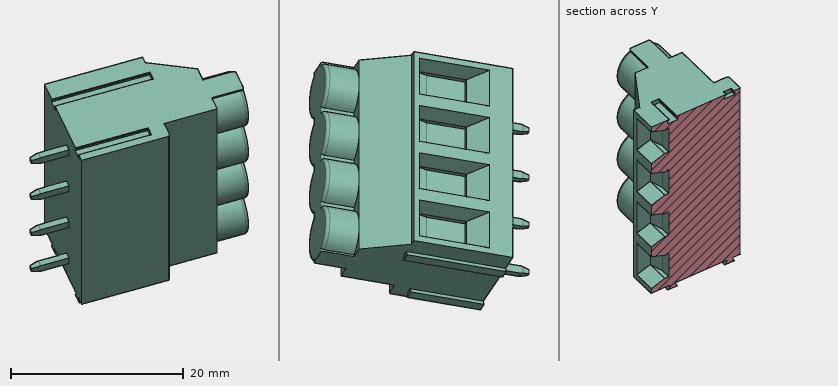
import cadquery as cq


OVERALL_LENGTH = 26.1
OVERALL_HEIGHT = 26.0

POLES = 4
BODY_HEIGHT = 25.4
PITCH = BODY_HEIGHT / POLES
POLE_CENTERS = [(i + 0.5) * PITCH for i in range(POLES)]

BODY_WIDTH = 12.5
POCKET_SIDE_Y = 12.14
BACK_SIDE_Y = 10.95
SHOULDER_Y = 17.51
LEDGE_DEPTH = 0.9
BACK_CHAMFER = 0.2

CAP_TOP_Y = 21.5
CAP_RADIUS = 3.3
CAP_CENTER_X = 7.18
CAP_FILLET = 0.4
WEB_FILLET = 0.3
WEB_WIDTH = 2.92

POCKET_MIN_Y = 2.85
POCKET_MAX_Y = 11.43
POCKET_HEIGHT = 4.8
FUNNEL_DEPTH = 1.88
THROAT_MIN_Y = 5.06
THROAT_HEIGHT = 3.47
THROAT_DEPTH = 2.43
RAMP_END_Y = 9.74

DOVETAIL_DEPTH = OVERALL_HEIGHT - BODY_HEIGHT
DOVETAIL_BASE = 1.35
RAIL_NECK = 0.78
SLOT_NECK = 0.95
SLOT_LIP = 0.091
SLOT_FLARE_DEPTH = 0.31
DOVETAILS = [(3.03, POCKET_SIDE_Y), (11.01, 8.98)]

PIN_X = 7.88
PIN_WIDTH = 0.8
PIN_HEIGHT = 1.0
PIN_LENGTH = OVERALL_LENGTH - CAP_TOP_Y
PIN_TIP = 0.5
TAPER_IN_X = 0.84
TAPER_IN_Z = 1.1


def make_body():
    """Stepped profile in X and Y, extruded over all poles."""
    cap_min_x = CAP_CENTER_X - CAP_RADIUS
    cap_max_x = CAP_CENTER_X + CAP_RADIUS
    profile = [
        (0, 0),
        (BODY_WIDTH, 0),
        (BODY_WIDTH, BACK_SIDE_Y - BACK_CHAMFER),
        (BODY_WIDTH - BACK_CHAMFER, BACK_SIDE_Y),
        (cap_max_x, BACK_SIDE_Y),
        (cap_max_x, SHOULDER_Y),
        (cap_min_x, SHOULDER_Y),
        (LEDGE_DEPTH, POCKET_SIDE_Y),
        (0, POCKET_SIDE_Y),
    ]
    return cq.Workplane("XY").polyline(profile).close().extrude(BODY_HEIGHT)


def make_caps():
    """Round screw caps on a common web, trimmed flush with the body ends."""
    cap_height = CAP_TOP_Y - SHOULDER_Y
    web = (
        cq.Workplane("XY")
        .box(WEB_WIDTH, cap_height, BODY_HEIGHT, centered=(True, False, False))
        .faces(">Y").edges("|Z").fillet(WEB_FILLET)
        .translate((CAP_CENTER_X, SHOULDER_Y, 0))
    )
    trim = (
        cq.Workplane("XY")
        .box(2 * CAP_RADIUS, cap_height, BODY_HEIGHT, centered=(True, False, False))
        .translate((CAP_CENTER_X, SHOULDER_Y, 0))
    )
    caps = web
    for z in POLE_CENTERS:
        cap = (
            cq.Workplane("XZ", origin=(CAP_CENTER_X, SHOULDER_Y, z))
            .circle(CAP_RADIUS).extrude(-cap_height)
            .faces(">Y").edges().fillet(CAP_FILLET)
        )
        caps = caps.union(cap.intersect(trim))
    return caps


def make_pocket(z):
    """Funnel mouth on the -X face leading to a throat with a sloping floor."""
    mouth_size = POCKET_MAX_Y - POCKET_MIN_Y
    throat_size = POCKET_MAX_Y - THROAT_MIN_Y
    funnel = (
        cq.Workplane("YZ", origin=(0, 0, z))
        .center(POCKET_MAX_Y - mouth_size / 2, 0)
        .rect(mouth_size, POCKET_HEIGHT)
        .workplane(offset=FUNNEL_DEPTH)
        .center((mouth_size - throat_size) / 2, 0)
        .rect(throat_size, THROAT_HEIGHT)
        .loft(ruled=True)
    )
    throat = (
        cq.Workplane("XY", origin=(0, 0, z - THROAT_HEIGHT / 2))
        .moveTo(FUNNEL_DEPTH, POCKET_MAX_Y)
        .lineTo(THROAT_DEPTH, RAMP_END_Y)
        .lineTo(THROAT_DEPTH, THROAT_MIN_Y)
        .lineTo(FUNNEL_DEPTH, THROAT_MIN_Y)
        .close().extrude(THROAT_HEIGHT)
    )
    return funnel.union(throat)


def make_dovetail(center_x, length, top_z, half_section):
    """Symmetric bar along +Y from the pin face, given as (half width, depth) pairs."""
    right_side = [(center_x + half, top_z - depth) for half, depth in half_section]
    left_side = [(center_x - half, top_z - depth) for half, depth in reversed(half_section)]
    return cq.Workplane("XZ").polyline(right_side + left_side).close().extrude(-length)


def make_rail(center_x, length):
    """Rail under the body, widening evenly from its neck."""
    half_section = [(RAIL_NECK / 2, 0), (DOVETAIL_BASE / 2, DOVETAIL_DEPTH)]
    return make_dovetail(center_x, length, 0, half_section)


def make_slot(center_x, length):
    """Cutter for a slot with a chamfered mouth, a flare and an upright lower part."""
    half_section = [
        (SLOT_NECK / 2 + SLOT_LIP, 0),
        (SLOT_NECK / 2, SLOT_LIP),
        (DOVETAIL_BASE / 2, SLOT_FLARE_DEPTH),
        (DOVETAIL_BASE / 2, DOVETAIL_DEPTH),
    ]
    return make_dovetail(center_x, length, BODY_HEIGHT, half_section)


def make_tapered_bar(plane, width, taper, depth):
    """Pin outline along -Y with a tapered end, extruded to both sides."""
    outline = [
        (-width / 2, 0),
        (width / 2, 0),
        (width / 2, taper - PIN_LENGTH),
        (PIN_TIP / 2, -PIN_LENGTH),
        (-PIN_TIP / 2, -PIN_LENGTH),
        (-width / 2, taper - PIN_LENGTH),
    ]
    return cq.Workplane(plane).polyline(outline).close().extrude(depth / 2, both=True)


def make_pin(z):
    """Rectangular pin whose tip is tapered separately in X and in Z."""
    side_plane = cq.Plane(origin=(0, 0, 0), xDir=(0, 0, 1), normal=(-1, 0, 0))
    across_x = make_tapered_bar("XY", PIN_WIDTH, TAPER_IN_X, PIN_HEIGHT)
    across_z = make_tapered_bar(side_plane, PIN_HEIGHT, TAPER_IN_Z, PIN_WIDTH)
    return across_x.intersect(across_z).translate((PIN_X, 0, z))


result = make_body().union(make_caps())
for pole_z in POLE_CENTERS:
    result = result.cut(make_pocket(pole_z))
    result = result.union(make_pin(pole_z))
for dovetail_x, dovetail_length in DOVETAILS:
    result = result.cut(make_slot(dovetail_x, dovetail_length))
    result = result.union(make_rail(dovetail_x, dovetail_length))